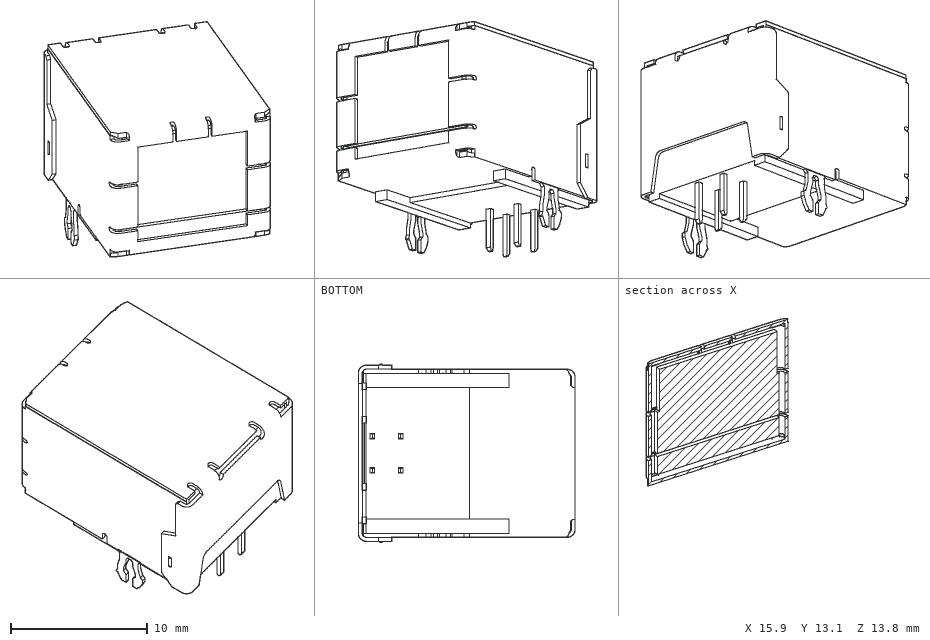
import cadquery as cq
import math


LENGTH = 15.94
HEIGHT = 11.0
PIN_TIP_Z = -2.8

SHEET = 0.3
BEND_OUTER = 0.6
BEND_INNER = BEND_OUTER - SHEET

SHELL_HALF_WIDTH = 6.18
SHELL_INNER_HALF = SHELL_HALF_WIDTH - SHEET
TOP_SETBACK = 0.03
SHELL_REAR_X = 0.38
SHELL_BOTTOM_Z = 0.74
SKIRT_BOTTOM_Z = 0.54
SKIRT_NOTCH_X = (7.75, 8.17)
SKIRT_NOTCH_TOP_Z = 1.47
FRONT_BEND_X = LENGTH - BEND_OUTER
FRONT_PLATE_X = LENGTH - SHEET
SIDE_BEND_Z = (SHELL_BOTTOM_Z + BEND_OUTER, HEIGHT - BEND_OUTER)

MOUTH_WIDTH = 8.45
MOUTH_HEIGHT = 7.78
MOUTH_CENTER_Z = (SHELL_BOTTOM_Z + HEIGHT) / 2
FLANGE_HALF_WIDTH = 4.85
FLANGE_CHAMFER = 0.15
CORNER_RELIEF = 0.53
FRONT_SLOT_WIDTH = 0.3
FRONT_SLOT_X = 15.15
SIDE_SLOT_Z = (3.02, 6.73)
TOP_SLOT_Y = 1.37

COVER_HALF_WIDTH = SHELL_HALF_WIDTH + SHEET
COVER_BOTTOM_Z = 0.43
COVER_TOP_Z = HEIGHT - BEND_OUTER
FLAP_TOP_X = 1.17
FLAP_TOP_CHAMFER = 0.23
FLAP_WIDE_X = 2.47
FLAP_SLOPE_Z = (5.83, 6.52)
FLAP_LOWER_CHAMFER = 0.97
BUMP_CENTER_X = 1.67
BUMP_CENTER_Z = 3.19
BUMP_WIDTH = 0.28
BUMP_LENGTH = 1.0
BUMP_HEIGHT = 0.08

WINDOW_HALF_BOTTOM = 5.13
WINDOW_HALF_TOP = 4.59
WINDOW_TOP_Z = 3.44
WINDOW_CORNER_RADIUS = 0.5

STRIP_Y = (2.7, 4.69)
HINGE_SLOT_WIDTH = 0.47
HINGE_SLOT_END_X = 1.2
COVER_SLOT_BOTTOM_Z = 10.06
LIP_REAR_X = 0.33

HOUSING_REAR_X = 0.57
HOUSING_BOTTOM_Z = 0.37
HOUSING_FRONT_X = FRONT_SLOT_X - 0.05
NOSE_FRONT_X = 15.6
NOSE_BANDS = ((1.45, 3.0, 5.4), (3.2, 6.72, 5.4), (6.72, 10.25, 5.2))
RAIL_FRONT_X = 11.08
RAIL_HALF_WIDTHS = (4.82, SHELL_INNER_HALF)

PIN_X = (1.025, 3.12)
PIN_Y = 1.26
PIN_SIZE_X = 0.34
PIN_SIZE_Y = 0.4
PIN_TAPER = 0.25
PIN_TIP_X = 0.16
PIN_TIP_Y = 0.28
PIN_ROOT_Z = 1.0

CLIP_GROOVE_BOTTOM_Z = 0.27
CLIP_GROOVE_DEPTH = 0.08

CLIP_OUTLINE = [
    (4.65, SKIRT_BOTTOM_Z), (4.86, 0.29), (4.86, -0.37), (4.65, -1.14),
    (4.43, -1.29), (4.43, -1.63), (4.65, -2.18), (4.98, -2.64),
    (5.36, -2.64), (5.36, -1.72), (5.12, -1.45), (5.12, -1.14),
    (5.36, -0.37), (5.36, 0.02), (5.51, 0.25),
    (5.82, 0.25), (5.98, 0.02), (5.98, -0.37), (6.23, -1.14),
    (6.23, -1.45), (5.98, -1.75), (5.98, -2.64), (6.43, -2.64),
    (6.78, -2.0), (6.90, -1.94), (6.78, -1.63), (6.78, -1.14),
    (6.59, -0.37), (6.59, 0.29), (6.77, SKIRT_BOTTOM_Z),
]


def box(x_range, y_range, z_range):
    """Axis-aligned box between the given limits."""
    size = [high - low for low, high in (x_range, y_range, z_range)]
    return cq.Workplane("XY").box(*size, centered=False).translate((x_range[0], y_range[0], z_range[0]))


def mirrored(body):
    """The body together with its mirror image across the Y = 0 plane."""
    return body.union(body.mirror("XZ"))


def xz_prism(sketch, y_range):
    """Extrude a closed XZ wire along Y between the given limits."""
    return sketch.extrude(y_range[0] - y_range[1]).translate((0, y_range[0], 0))


def quarter_bend(plane):
    """Closed quarter ring around the origin, in the first quadrant of a plane."""
    diagonal = math.sqrt(0.5)
    return (
        cq.Workplane(plane)
        .moveTo(BEND_INNER, 0)
        .lineTo(BEND_OUTER, 0)
        .threePointArc((BEND_OUTER * diagonal, BEND_OUTER * diagonal), (0, BEND_OUTER))
        .lineTo(0, BEND_INNER)
        .threePointArc((BEND_INNER * diagonal, BEND_INNER * diagonal), (BEND_INNER, 0))
        .close()
    )


def bend_along_y(half_width):
    """Bend from a top sheet down to a front sheet, centred on its bend axis."""
    return xz_prism(quarter_bend("XZ"), (-half_width, half_width))


def bend_along_z(z_range):
    """Bend from a +Y side sheet to a front sheet, centred on its bend axis."""
    return quarter_bend("XY").extrude(z_range[1] - z_range[0]).translate((0, 0, z_range[0]))


def make_side_wall():
    """Side wall at +Y with its stepped lower edge, round notch and front bend."""
    notch_start, notch_end = SKIRT_NOTCH_X
    notch_radius = (notch_end - notch_start) / 2
    notch_spring_z = SKIRT_NOTCH_TOP_Z - notch_radius
    outline = (
        cq.Workplane("XZ")
        .moveTo(SHELL_REAR_X, SKIRT_BOTTOM_Z)
        .lineTo(notch_start, SKIRT_BOTTOM_Z)
        .lineTo(notch_start, notch_spring_z)
        .threePointArc((notch_start + notch_radius, SKIRT_NOTCH_TOP_Z), (notch_end, notch_spring_z))
        .lineTo(notch_end, SHELL_BOTTOM_Z)
        .lineTo(FRONT_BEND_X, SHELL_BOTTOM_Z)
        .lineTo(FRONT_BEND_X, HEIGHT - SHEET)
        .lineTo(SHELL_REAR_X, HEIGHT - SHEET)
        .close()
    )
    wall = xz_prism(outline, (SHELL_INNER_HALF, SHELL_HALF_WIDTH))
    bend = bend_along_z(SIDE_BEND_Z).translate((FRONT_BEND_X, SHELL_HALF_WIDTH - BEND_OUTER, 0))
    return wall.union(bend)


def make_flange_bends():
    """Top and bottom front bends, trimmed clear of the side bends at the corners."""
    half_outline = [
        (FRONT_BEND_X, SHELL_HALF_WIDTH),
        (FRONT_PLATE_X - TOP_SETBACK, SHELL_HALF_WIDTH - CORNER_RELIEF),
        (FRONT_PLATE_X - TOP_SETBACK, FLANGE_HALF_WIDTH + FLANGE_CHAMFER),
        (FRONT_PLATE_X - TOP_SETBACK + FLANGE_CHAMFER, FLANGE_HALF_WIDTH),
        (LENGTH, FLANGE_HALF_WIDTH),
    ]
    outline = half_outline + [(x, -y) for x, y in reversed(half_outline)]
    plan = cq.Workplane("XY").polyline(outline).close().extrude(HEIGHT)
    bend = bend_along_y(SHELL_HALF_WIDTH - TOP_SETBACK)
    top = bend.translate((FRONT_BEND_X, 0, SIDE_BEND_Z[1]))
    bottom = bend.mirror("XY").translate((FRONT_BEND_X, 0, SIDE_BEND_Z[0]))
    return top.union(bottom).intersect(plan)


def make_front_plate():
    """Front flanges lying in one plane around the open mouth."""
    half_width = SHELL_HALF_WIDTH - BEND_OUTER
    plate = box((FRONT_PLATE_X, LENGTH), (-half_width, half_width), SIDE_BEND_Z)
    mouth_z = (MOUTH_CENTER_Z - MOUTH_HEIGHT / 2, MOUTH_CENTER_Z + MOUTH_HEIGHT / 2)
    return plate.cut(box((FRONT_PLATE_X, LENGTH), (-MOUTH_WIDTH / 2, MOUTH_WIDTH / 2), mouth_z))


def round_slot_cutter(end_x, other_x, width, depth):
    """Slot along X, centred on Y = 0 and Z = 0, with a round end at end_x."""
    direction = 1 if other_x > end_x else -1
    radius = width / 2
    center_x = end_x + direction * radius
    return (
        cq.Workplane("XY")
        .moveTo(other_x, -radius)
        .lineTo(center_x, -radius)
        .threePointArc((end_x, 0), (center_x, radius))
        .lineTo(other_x, radius)
        .close()
        .extrude(depth / 2, both=True)
    )


def cut_front_slots(shell):
    """Slots that split the front bends: two on each side and two on the top."""
    slot = round_slot_cutter(FRONT_SLOT_X, LENGTH, FRONT_SLOT_WIDTH, 2 * SHELL_HALF_WIDTH)
    side_slot = slot.rotate((0, 0, 0), (1, 0, 0), 90)
    for z in SIDE_SLOT_Z:
        shell = shell.cut(side_slot.translate((0, 0, z)))
    for y in (-TOP_SLOT_Y, TOP_SLOT_Y):
        shell = shell.cut(slot.translate((0, y, HEIGHT)))
    return shell


def make_shell():
    """Folded shell: top, side walls, bottom plate and the front flanges."""
    half_width = SHELL_HALF_WIDTH - TOP_SETBACK
    top_z = (HEIGHT - SHEET, HEIGHT)
    top = box((SHELL_REAR_X, FRONT_BEND_X), (-half_width, half_width), top_z)
    top = top.cut(box((SHELL_REAR_X, BEND_OUTER), (-STRIP_Y[1], STRIP_Y[1]), top_z))
    bottom = box(
        (SKIRT_NOTCH_X[1], FRONT_BEND_X),
        (-SHELL_INNER_HALF, SHELL_INNER_HALF),
        (SHELL_BOTTOM_Z, SHELL_BOTTOM_Z + SHEET),
    )
    shell = top.union(bottom).union(mirrored(make_side_wall()))
    shell = shell.union(make_flange_bends()).union(make_front_plate())
    return cut_front_slots(shell)


def make_clips():
    """Board-lock clips on both side walls, each with a wedge groove along its root."""
    sketch = cq.Workplane("XZ").polyline(CLIP_OUTLINE).close()
    clip = xz_prism(sketch, (SHELL_INNER_HALF, SHELL_HALF_WIDTH))
    groove_outline = [
        (SHELL_HALF_WIDTH, SKIRT_BOTTOM_Z),
        (SHELL_HALF_WIDTH - CLIP_GROOVE_DEPTH, SKIRT_BOTTOM_Z),
        (SHELL_HALF_WIDTH, CLIP_GROOVE_BOTTOM_Z),
    ]
    groove = cq.Workplane("YZ").polyline(groove_outline).close().extrude(LENGTH)
    return mirrored(clip.cut(groove))


def make_cover_flap():
    """Flap of the rear cover lying on the +Y side wall, with its bump."""
    outline = [
        (BEND_OUTER, COVER_BOTTOM_Z),
        (FLAP_WIDE_X - FLAP_LOWER_CHAMFER, COVER_BOTTOM_Z),
        (FLAP_WIDE_X, COVER_BOTTOM_Z + FLAP_LOWER_CHAMFER),
        (FLAP_WIDE_X, FLAP_SLOPE_Z[0]),
        (FLAP_TOP_X, FLAP_SLOPE_Z[1]),
        (FLAP_TOP_X, COVER_TOP_Z - FLAP_TOP_CHAMFER),
        (FLAP_TOP_X - FLAP_TOP_CHAMFER, COVER_TOP_Z),
        (BEND_OUTER, COVER_TOP_Z),
    ]
    sketch = cq.Workplane("XZ").polyline(outline).close()
    flap = xz_prism(sketch, (SHELL_HALF_WIDTH, COVER_HALF_WIDTH))
    bump = (
        cq.Workplane("XY")
        .moveTo(BUMP_CENTER_X - BUMP_WIDTH / 2, COVER_HALF_WIDTH)
        .threePointArc(
            (BUMP_CENTER_X, COVER_HALF_WIDTH + BUMP_HEIGHT),
            (BUMP_CENTER_X + BUMP_WIDTH / 2, COVER_HALF_WIDTH),
        )
        .close()
        .extrude(BUMP_LENGTH)
        .translate((0, 0, BUMP_CENTER_Z - BUMP_LENGTH / 2))
    )
    return flap.union(bump)


def make_window_cutter():
    """Trapezoid through the cover with rounded upper corners, open at the lower edge."""
    outline = [
        (-WINDOW_HALF_BOTTOM, COVER_BOTTOM_Z),
        (WINDOW_HALF_BOTTOM, COVER_BOTTOM_Z),
        (WINDOW_HALF_TOP, WINDOW_TOP_Z),
        (-WINDOW_HALF_TOP, WINDOW_TOP_Z),
    ]
    window = cq.Workplane("YZ").polyline(outline).close().extrude(SHEET)
    return window.edges("|X and >Z").fillet(WINDOW_CORNER_RADIUS)


def make_rear_cover():
    """Rear cover plate with rounded vertical corners and flaps along both sides."""
    half_width = COVER_HALF_WIDTH - BEND_OUTER
    cover_z = (COVER_BOTTOM_Z, COVER_TOP_Z)
    cover = box((0, SHEET), (-half_width, half_width), cover_z)
    bend = bend_along_z(cover_z).mirror("YZ").translate((BEND_OUTER, half_width, 0))
    cover = cover.union(mirrored(bend.union(make_cover_flap())))
    return cover.cut(make_window_cutter())


def make_hinge():
    """Rear bend strips joining the cover to the shell top, with a radially cut lip between."""
    bend = bend_along_y(STRIP_Y[1]).mirror("YZ").translate((BEND_OUTER, 0, COVER_TOP_Z))
    lip_run = BEND_OUTER - LIP_REAR_X
    lip_rise = math.sqrt(BEND_OUTER**2 - lip_run**2)
    relief_outline = [
        (BEND_OUTER, COVER_TOP_Z),
        (BEND_OUTER - 2 * lip_run, COVER_TOP_Z + 2 * lip_rise),
        (-BEND_OUTER, COVER_TOP_Z),
    ]
    sketch = cq.Workplane("XZ").polyline(relief_outline).close()
    return bend.cut(xz_prism(sketch, (-STRIP_Y[0], STRIP_Y[0])))


def cut_hinge_slots(body):
    """Round-ended slots on both sides of each hinge strip."""
    inner_y = STRIP_Y[0] - HINGE_SLOT_WIDTH / 2
    outer_y = STRIP_Y[1] + HINGE_SLOT_WIDTH / 2
    slot = round_slot_cutter(HINGE_SLOT_END_X, 0, HINGE_SLOT_WIDTH, 2 * BEND_OUTER)
    slot_radius = HINGE_SLOT_WIDTH / 2
    cover_slot_z = COVER_SLOT_BOTTOM_Z + slot_radius
    cover_slot = box((0, SHEET), (-slot_radius, slot_radius), (cover_slot_z, COVER_TOP_Z))
    cover_slot = cover_slot.union(
        cq.Workplane("YZ").center(0, cover_slot_z).circle(slot_radius).extrude(SHEET)
    )
    for side in (-1, 1):
        body = body.cut(slot.translate((0, side * inner_y, HEIGHT)))
        body = body.cut(slot.translate((0, side * outer_y, HEIGHT)))
        body = body.cut(cover_slot.translate((0, side * inner_y, 0)))
    return body


def make_housing():
    """Plastic housing filling the shell, on two rails, with a stepped nose behind the mouth."""
    top_z = HEIGHT - SHEET
    side_y = (-SHELL_INNER_HALF, SHELL_INNER_HALF)
    upper = box((HOUSING_REAR_X, HOUSING_FRONT_X), side_y, (SHELL_BOTTOM_Z + SHEET, top_z))
    base = box((HOUSING_REAR_X, SKIRT_NOTCH_X[1]), side_y, (HOUSING_BOTTOM_Z, top_z))
    rail = box((HOUSING_REAR_X, RAIL_FRONT_X), RAIL_HALF_WIDTHS, (0, SHELL_BOTTOM_Z + SHEET))
    housing = upper.union(base).union(mirrored(rail))
    for low_z, high_z, half_width in NOSE_BANDS:
        nose_y = (-half_width, half_width)
        housing = housing.union(box((HOUSING_FRONT_X, NOSE_FRONT_X), nose_y, (low_z, high_z)))
    return housing


def make_pin(lean):
    """One contact pin on the Z axis; its tip is flush on the +X (1) or -X (-1) face."""
    taper_z = PIN_TIP_Z + PIN_TAPER
    shank = box(
        (-PIN_SIZE_X / 2, PIN_SIZE_X / 2),
        (-PIN_SIZE_Y / 2, PIN_SIZE_Y / 2),
        (taper_z, PIN_ROOT_Z),
    )
    tip = (
        cq.Workplane("XY")
        .workplane(offset=taper_z)
        .rect(PIN_SIZE_X, PIN_SIZE_Y)
        .workplane(offset=-PIN_TAPER)
        .center(lean * (PIN_SIZE_X - PIN_TIP_X) / 2, 0)
        .rect(PIN_TIP_X, PIN_TIP_Y)
        .loft()
    )
    return shank.union(tip)


def make_pins():
    """Two rows of contact pins whose tips lean towards each other."""
    pins = cq.Workplane("XY")
    for x, lean in zip(PIN_X, (1, -1)):
        for y in (-PIN_Y, PIN_Y):
            pins = pins.union(make_pin(lean).translate((x, y, 0)))
    return pins


metal = cut_hinge_slots(make_shell().union(make_rear_cover()).union(make_hinge()))
result = metal.union(make_clips()).union(make_housing()).union(make_pins())